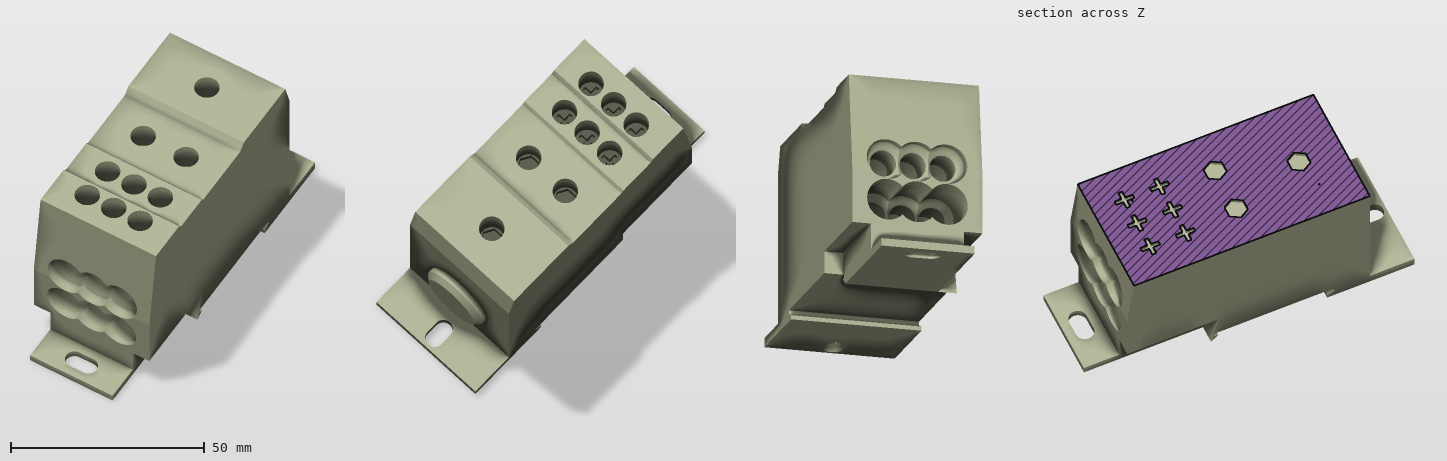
import math

import cadquery as cq


width = 35.0
height = 50.0
depth = 69.0
front_top_y = 3.3
front_kink_z = 24.0
back_top_y = depth - 2.0
back_kink_z = height - 7.0

front_step_y = 14.7
front_step_run = 0.9
middle_step_y = 25.8
back_step_y = 46.6
shallow_drop = 1.15
deep_drop = 1.9

front_foot_width = 25.0
front_foot_length = 10.0
front_foot_thickness = 2.0
back_foot_length = 12.6
back_foot_thickness = 2.5

rail_roof_z = 3.1
rail_front_y = 24.8
rail_back_y = 58.9
latch_tip_y = 25.8
latch_tip_z = 1.7
latch_groove_z = 1.95
latch_base_y = 23.8
hook_tip_y = 56.8
hook_tip_z = 1.1
hook_root_z = 2.0

side_recess_height = 9.0
side_recess_depth = 26.0
ramp_foot_y = latch_base_y

collar_radius = 9.6
collar_length = 3.1
collar_chamfer = 1.5
collar_z = 20.0

terminal_pitch = 8.0
terminal_columns = (-terminal_pitch, 0.0, terminal_pitch)
funnel_radius = 5.5
bore_radius = 3.5
funnel_taper_length = 1.5
bore_length = 8.0
drill_point_angle = 118.0
lower_row_z = 16.0
row_web = 0.05
upper_row_z = lower_row_z + 2 * funnel_radius + row_web
row_stagger = 10.0
upper_funnel_depth = 3.0
lower_funnel_depth = upper_funnel_depth + row_stagger

well_radius = 3.3
screw_head_z = height - 10.0
drive_depth = 2.0
hex_side = 3.0
cross_length = 5.0
cross_width = 1.0
front_screw_y = 10.9
rear_screw_y = front_screw_y + row_stagger
hex_pair_y = 36.0
hex_pair_half_spacing = 6.5
hex_single_y = 56.8

front_slot_length = 9.2
front_slot_width = 5.0
back_slot_length = 8.2
back_slot_width = 4.9
back_slot_edge_gap = 0.8


def extrude_across(points, across):
    """Closed Y-Z outline extruded symmetrically about X = 0."""
    return cq.Workplane("YZ").polyline(points).close().extrude(across / 2, both=True)


def box_between(low, high):
    size = [end - start for start, end in zip(low, high)]
    return cq.Workplane("XY").box(*size, centered=False).translate(low)


def make_housing():
    middle_z = height - shallow_drop
    low_z = height - deep_drop
    outline = [
        (0, 0),
        (0, front_kink_z),
        (front_top_y, height),
        (front_step_y, height),
        (front_step_y + front_step_run, middle_z),
        (middle_step_y, middle_z),
        (middle_step_y + (middle_z - low_z), low_z),
        (back_step_y - deep_drop, low_z),
        (back_step_y, height),
        (back_top_y, height),
        (depth, back_kink_z),
        (depth, 0),
    ]
    return extrude_across(outline, width)


def make_feet():
    front = box_between(
        (-front_foot_width / 2, -front_foot_length, 0),
        (front_foot_width / 2, depth / 2, front_foot_thickness),
    )
    back = box_between(
        (-width / 2, depth - back_foot_length, 0),
        (width / 2, depth + back_foot_length, back_foot_thickness),
    )
    return front.union(back)


def make_rail_channel():
    outline = [
        (latch_base_y, 0),
        (latch_tip_y, latch_tip_z),
        (latch_tip_y, latch_groove_z),
        (rail_front_y, latch_groove_z),
        (rail_front_y, rail_roof_z),
        (rail_back_y, rail_roof_z),
        (rail_back_y, hook_root_z),
        (hook_tip_y, hook_tip_z),
        (hook_tip_y, 0),
    ]
    return extrude_across(outline, width)


def make_side_recesses():
    """The -X recess ends in an upright wall, the +X recess in a leaning one."""
    inner_x = front_foot_width / 2
    outer_x = width / 2
    left = box_between((-outer_x, 0, 0), (-inner_x, side_recess_depth, side_recess_height))
    ramp_outline = [
        (0, 0),
        (ramp_foot_y, 0),
        (side_recess_depth, side_recess_height),
        (0, side_recess_height),
    ]
    right_start = cq.Workplane("YZ", origin=(inner_x, 0, 0))
    right = right_start.polyline(ramp_outline).close().extrude(outer_x - inner_x)
    return left.union(right)


def make_collar():
    collar = cq.Workplane("XZ", origin=(0, depth, collar_z)).circle(collar_radius).extrude(-collar_length)
    return collar.faces(">Y").chamfer(collar_chamfer)


def make_wire_entry(x, z, funnel_depth):
    """Stepped funnel along Y: wide mouth, taper, bore and conical drill point."""
    taper_end = funnel_depth + funnel_taper_length
    bore_end = taper_end + bore_length
    point_length = bore_radius / math.tan(math.radians(drill_point_angle / 2))
    profile = [
        (0, 0),
        (funnel_radius, 0),
        (funnel_radius, funnel_depth),
        (bore_radius, taper_end),
        (bore_radius, bore_end),
        (0, bore_end + point_length),
    ]
    entry = cq.Workplane("XY").polyline(profile).close().revolve(360, (0, 0, 0), (0, 1, 0))
    return entry.translate((x, 0, z))


def make_screw_well(x, y):
    return cq.Workplane("XY", origin=(x, y, screw_head_z)).circle(well_radius).extrude(height - screw_head_z)


def make_hex_drive(x, y):
    floor = cq.Workplane("XY", origin=(x, y, screw_head_z - drive_depth))
    return floor.polygon(6, 2 * hex_side).extrude(drive_depth)


def make_cross_drive(x, y):
    floor = cq.Workplane("XY", origin=(x, y, screw_head_z - drive_depth))
    along_x = floor.rect(cross_length, cross_width).extrude(drive_depth)
    along_y = floor.rect(cross_width, cross_length).extrude(drive_depth)
    return along_x.union(along_y)


def make_foot_slots():
    front = (
        cq.Workplane("XY", origin=(0, -front_foot_length / 2, 0))
        .slot2D(front_slot_length, front_slot_width)
        .extrude(front_foot_thickness)
    )
    back_slot_y = depth + back_foot_length - back_slot_edge_gap - back_slot_length / 2
    back = (
        cq.Workplane("XY", origin=(0, back_slot_y, 0))
        .slot2D(back_slot_length, back_slot_width, 90)
        .extrude(back_foot_thickness)
    )
    return front.union(back)


result = make_housing().union(make_feet()).union(make_collar())
result = result.cut(make_rail_channel()).cut(make_side_recesses()).cut(make_foot_slots())

for x in terminal_columns:
    result = result.cut(make_wire_entry(x, upper_row_z, upper_funnel_depth))
    result = result.cut(make_wire_entry(x, lower_row_z, lower_funnel_depth))
    for y in (front_screw_y, rear_screw_y):
        result = result.cut(make_screw_well(x, y)).cut(make_cross_drive(x, y))

hex_screws = [
    (-hex_pair_half_spacing, hex_pair_y),
    (hex_pair_half_spacing, hex_pair_y),
    (0, hex_single_y),
]
for x, y in hex_screws:
    result = result.cut(make_screw_well(x, y)).cut(make_hex_drive(x, y))